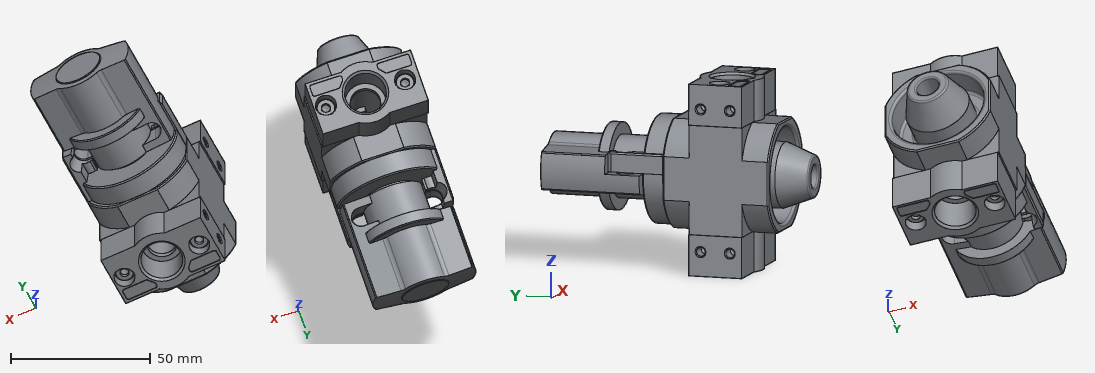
import cadquery as cq
import math


BODY_SIZE = 39.9
BLOCK_LENGTH = 20.0
ROUND_DIA = 43.0
END_CHAMFER = 0.5
HALF_BODY = BODY_SIZE / 2

CAVITY_DIA = 35.0
CAVITY_DEPTH = 10.0
HUB_DIA = 24.0
CAVITY_ROUND = 1.0
TIP_Y = -31.1
TIP_DIA = 15.3
CONE_ANGLE = 21.0
TIP_ROUND = 0.8
NOSE_HOLE_DIA = 8.6
NOSE_HOLE_DEPTH = 14.8
NOSE_HOLE_ROUND = 0.6

BORE_DIA = 11.0
TAB_WIDTH = 4.0
TAB_REACH = 3.6
TAB_HEIGHT = 2.0
TAB_ROOT = 2.0
TAB_SHIFT = 0.5

TOTAL_HEIGHT = 70.0
FLANGE_HEIGHT = TOTAL_HEIGHT / 2 - HALF_BODY
FLANGE_SHIFT = -0.5
BOSS_DIA = 23.2
PORT_DIA = 15.0
PORT_DEPTH = 12.8
PORT_CHAMFER = 0.9
SIDE_HOLE_DIA = 3.2
SIDE_HOLE_MOUTH_DIA = 4.0
SIDE_HOLE_DEPTH = 5.9
SIDE_HOLE_SPACING = 11.0
SIDE_HOLE_DROP = 9.0
LABEL_INNER_X = 6.7
LABEL_OUTER_X = 18.8
LABEL_CUT_X = 8.9
LABEL_CUT_Y = -7.1
LABEL_FRONT_Y = -9.0
LABEL_BACK_Y = -4.5
LABEL_DEPTH = 0.3
LABEL_ROUND = 0.8

SCREW_SPACING = 30.0
COUNTERBORE_DIA = 7.5
HEAD_DIA = 7.0
HEAD_HEIGHT = 4.0
HEAD_RECESS = 3.3
HEAD_CHAMFER = 0.34
SHANK_DIA = 4.0
SHANK_IN_HOUSING = 5.9
SOCKET_DIA = 3.2
SOCKET_DEPTH = 1.5
POINT_SLOPE = math.tan(math.radians(30))

CAP_DIA = 39.75
CAP_BACK_Y = 27.7
CAP_CHAMFER = 0.5
ARM_BACK_Y = 40.6
ARM_OUTER_X = 20.0
ARM_INNER_X = 11.9
ARM_BOTTOM_Z = 1.3
ARM_TOP_Z = 8.5
ARM_EDGE_CHAMFER = 0.6
ARM_TIP_LENGTH = 1.2
ARM_TIP_INSET = 0.5
RAIL_INNER_X = 16.2
BEAD_START_X = 15.6
BEAD_END_X = 12.8
BEAD_DROP = 5.4
BEAD_RISE = 0.3
SLOT_DIA = 7.0
SLOT_Y = 35.6
SLOT_END_X = 17.1
ARM_SLOT_LEAN = 1.6

NECK_DIA = 19.1
BARREL_DIA = 23.0
REAR_BARREL_DIA = 22.6
BARREL_Y = 29.0
BACK_Y = 67.3
WING_DIA = 39.2
WING_ROOT_Z = 8.9
WING_ANGLE = 6.0
WING_EDGE_X = 18.0
WING_BLEND = 3.2
COLLAR_DIA = 31.9
COLLAR_Y = 42.0
COLLAR_LENGTH = 4.1
COLLAR_CHAMFER = 0.4
POCKET_FLOOR_Z = 0.2
BACK_FLAT_DIA = 17.5
BACK_PAD_HEIGHT = 0.3
BACK_EDGE_DROP = 1.2


def y_cylinder(diameter, y_start, y_end):
    """Cylinder along the Y axis."""
    return cq.Workplane("XZ", origin=(0, y_start, 0)).circle(diameter / 2).extrude(y_start - y_end)


def blind_hole(diameter, depth):
    """Cutter along -Z from the origin, with a conical bottom."""
    radius = diameter / 2
    outline = [(0, 0), (radius, 0), (radius, -depth), (0, -depth - radius * POINT_SLOPE)]
    return cq.Workplane("XZ").polyline(outline).close().revolve(360, (0, 0, 0), (0, 1, 0))


def turned_about_y(body):
    """Copy turned half a turn about the valve axis."""
    return body.rotate((0, 0, 0), (0, 1, 0), 180)


def make_screw():
    """Screw standing with its head top at the origin."""
    shank_end = FLANGE_HEIGHT - HEAD_RECESS + SHANK_IN_HOUSING
    screw = cq.Workplane("XY").circle(HEAD_DIA / 2).extrude(-HEAD_HEIGHT)
    screw = screw.faces(">Z").edges().chamfer(HEAD_CHAMFER)
    screw = screw.union(cq.Workplane("XY").circle(SHANK_DIA / 2).extrude(-shank_end))
    return screw.cut(blind_hole(SOCKET_DIA, SOCKET_DEPTH))


HEAD_Z = TOTAL_HEIGHT / 2 - HEAD_RECESS
screws = []
for side in (-1, 1):
    top_screw = make_screw().translate((side * SCREW_SPACING / 2, 0, HEAD_Z))
    screws.append(top_screw)
    screws.append(turned_about_y(top_screw))


CONE_LENGTH = (HUB_DIA - TIP_DIA) / 2 / math.tan(math.radians(CONE_ANGLE))
CONE_BASE_Y = TIP_Y + CONE_LENGTH
CAVITY_FLOOR_Y = CAVITY_DEPTH - HALF_BODY


def make_housing_shell():
    """Square block with rounded, chamfered ends."""
    ends = cq.Workplane("XY").box(BODY_SIZE, BODY_SIZE, BODY_SIZE)
    ends = ends.intersect(y_cylinder(ROUND_DIA, -HALF_BODY, HALF_BODY))
    ends = ends.faces("<Y or >Y").chamfer(END_CHAMFER)
    return ends.union(cq.Workplane("XY").box(BODY_SIZE, BLOCK_LENGTH, BODY_SIZE))


def make_cavity():
    """Cutter for the ring-shaped cavity around the hub, with a rounded floor."""
    cavity = y_cylinder(CAVITY_DIA, -HALF_BODY, CAVITY_FLOOR_Y)
    cavity = cavity.cut(y_cylinder(HUB_DIA, CONE_BASE_Y, CAVITY_FLOOR_Y))
    return cavity.faces(">Y").edges().fillet(CAVITY_ROUND)


def make_nose():
    """Cone in front of the hub, with its blind hole."""
    nose = (
        cq.Workplane("XY")
        .polyline([
            (0, TIP_Y),
            (TIP_DIA / 2, TIP_Y),
            (HUB_DIA / 2, CONE_BASE_Y),
            (0, CONE_BASE_Y),
        ])
        .close()
        .revolve(360, (0, 0, 0), (0, 1, 0))
    )
    return nose.faces("<Y").edges().fillet(TIP_ROUND)


def make_tab():
    """Small tab that reaches into the port passage from its +Y side."""
    root = BORE_DIA / 2 + TAB_ROOT
    tab = cq.Workplane("XY").box(TAB_WIDTH, root - TAB_REACH, TAB_HEIGHT)
    return tab.translate((-TAB_SHIFT, (root + TAB_REACH) / 2, 0))


def make_housing():
    housing = make_housing_shell().cut(make_cavity())
    mouth = cq.selectors.RadiusNthSelector(0)
    housing = housing.faces("<Y").edges(mouth).fillet(CAVITY_ROUND)
    housing = housing.union(make_nose())

    nose_hole = y_cylinder(NOSE_HOLE_DIA, TIP_Y, TIP_Y + NOSE_HOLE_DEPTH)
    housing = housing.cut(nose_hole)
    housing = housing.faces("<Y").edges(mouth).fillet(NOSE_HOLE_ROUND)

    bore = cq.Workplane("XY").circle(BORE_DIA / 2).extrude(HALF_BODY, both=True)
    housing = housing.cut(bore)
    tab = make_tab()
    housing = housing.union(tab).union(tab.rotate((0, 0, 0), (0, 0, 1), 180))
    for screw in screws:
        housing = housing.cut(screw)
    return housing


housing = make_housing()


def make_label_recess():
    """Cutter for the shallow label field left of the port."""
    field = (
        cq.Workplane("XY")
        .polyline([
            (-LABEL_OUTER_X, LABEL_FRONT_Y),
            (-LABEL_INNER_X, LABEL_FRONT_Y),
            (-LABEL_INNER_X, LABEL_CUT_Y),
            (-LABEL_CUT_X, LABEL_BACK_Y),
            (-LABEL_OUTER_X, LABEL_BACK_Y),
        ])
        .close()
        .extrude(-LABEL_DEPTH)
    )
    return field.edges("|Z").fillet(LABEL_ROUND)


def make_side_hole():
    """Cutter along +X from the origin: blind hole with a chamfered mouth."""
    mouth_depth = (SIDE_HOLE_MOUTH_DIA - SIDE_HOLE_DIA) / 2
    mouth = cq.Workplane("XY").circle(SIDE_HOLE_MOUTH_DIA / 2)
    mouth = mouth.workplane(offset=-mouth_depth).circle(SIDE_HOLE_DIA / 2).loft()
    hole = blind_hole(SIDE_HOLE_DIA, SIDE_HOLE_DEPTH).union(mouth)
    return hole.rotate((0, 0, 0), (0, 1, 0), -90)


def make_top_flange():
    top_z = TOTAL_HEIGHT / 2
    flange = cq.Workplane("XY", origin=(FLANGE_SHIFT, 0, HALF_BODY))
    flange = flange.rect(BODY_SIZE, BLOCK_LENGTH).extrude(FLANGE_HEIGHT)
    boss = cq.Workplane("XY", origin=(0, 0, HALF_BODY)).circle(BOSS_DIA / 2).extrude(FLANGE_HEIGHT)
    flange = flange.union(boss)

    port = cq.Workplane("XY", origin=(0, 0, top_z)).circle(PORT_DIA / 2).extrude(-PORT_DEPTH)
    flange = flange.cut(port)
    port_mouth = cq.selectors.RadiusNthSelector(0)
    flange = flange.faces(">Z").edges(port_mouth).chamfer(PORT_CHAMFER)
    passage = cq.Workplane("XY", origin=(0, 0, HALF_BODY)).circle(BORE_DIA / 2).extrude(FLANGE_HEIGHT)
    flange = flange.cut(passage)

    label = make_label_recess()
    for field in (label, label.mirror("YZ")):
        flange = flange.cut(field.translate((FLANGE_SHIFT, 0, top_z)))

    face_x = FLANGE_SHIFT - HALF_BODY
    for side in (-1, 1):
        hole = make_side_hole()
        hole_y = side * SIDE_HOLE_SPACING / 2
        flange = flange.cut(hole.translate((face_x, hole_y, top_z - SIDE_HOLE_DROP)))
        seat_x = side * SCREW_SPACING / 2
        seat = cq.Workplane("XY", origin=(seat_x, 0, top_z))
        flange = flange.cut(seat.circle(COUNTERBORE_DIA / 2).extrude(-HEAD_RECESS - HEAD_HEIGHT))
        flange = flange.cut(seat.circle(SHANK_DIA / 2).extrude(-FLANGE_HEIGHT))
    return flange


top_flange = make_top_flange()
bottom_flange = top_flange.mirror("XY")


def make_wing_slot():
    """Vertical slot on the -X side, from the axis to a round outer end."""
    end_x = SLOT_END_X - SLOT_DIA / 2
    half_depth = WING_DIA / 2
    slot = cq.Workplane("XY", origin=(-end_x / 2, SLOT_Y, 0))
    slot = slot.rect(end_x, SLOT_DIA).extrude(half_depth, both=True)
    outer_end = cq.Workplane("XY", origin=(-end_x, SLOT_Y, 0)).circle(SLOT_DIA / 2)
    return slot.union(outer_end.extrude(half_depth, both=True))


def make_arm_slot():
    """The same slot, leaning outwards through the -X arm."""
    lean_angle = math.degrees(math.atan(ARM_SLOT_LEAN / (ARM_TOP_Z - ARM_BOTTOM_Z)))
    pivot = (-SLOT_END_X, 0, ARM_BOTTOM_Z)
    pivot_along_y = (-SLOT_END_X, 1, ARM_BOTTOM_Z)
    return make_wing_slot().rotate(pivot, pivot_along_y, -lean_angle)


def make_arm():
    """Arm on the -X side that reaches from the cap along the connector."""
    bead_z = ARM_TOP_Z - BEAD_DROP
    bead_middle_x = (BEAD_START_X + BEAD_END_X) / 2
    arm = (
        cq.Workplane("XZ", origin=(0, HALF_BODY, 0))
        .moveTo(-ARM_INNER_X, ARM_BOTTOM_Z)
        .lineTo(-ARM_OUTER_X, ARM_BOTTOM_Z)
        .lineTo(-ARM_OUTER_X, ARM_TOP_Z - ARM_EDGE_CHAMFER)
        .lineTo(-ARM_OUTER_X + ARM_EDGE_CHAMFER, ARM_TOP_Z)
        .lineTo(-RAIL_INNER_X, ARM_TOP_Z)
        .lineTo(-BEAD_START_X, bead_z)
        .threePointArc((-bead_middle_x, bead_z + BEAD_RISE), (-BEAD_END_X, bead_z))
        .lineTo(-ARM_INNER_X, bead_z)
        .close()
        .extrude(HALF_BODY - ARM_BACK_Y)
    )
    tip = cq.Workplane("XY", origin=(0, 0, ARM_BOTTOM_Z)).polyline([
        (-ARM_OUTER_X, ARM_BACK_Y - ARM_TIP_LENGTH),
        (-ARM_OUTER_X, ARM_BACK_Y),
        (-ARM_OUTER_X + ARM_TIP_INSET, ARM_BACK_Y),
    ]).close().extrude(ARM_TOP_Z)
    return arm.cut(tip).cut(make_arm_slot())


def make_cap():
    cap = y_cylinder(CAP_DIA, HALF_BODY, CAP_BACK_Y).faces(">Y").edges().chamfer(CAP_CHAMFER)
    arm = make_arm()
    return cap.union(arm).union(turned_about_y(arm))


cap = make_cap()


def make_wings(y_start, y_end):
    """Flat wings whose faces taper towards rounded tips."""
    edge_z = WING_ROOT_Z - WING_EDGE_X * math.tan(math.radians(WING_ANGLE))
    tip_x = WING_DIA / 2
    low_z = edge_z - (tip_x - WING_EDGE_X)
    outline = [
        (0, WING_ROOT_Z),
        (WING_EDGE_X, edge_z),
        (tip_x, low_z),
        (tip_x, -low_z),
        (WING_EDGE_X, -edge_z),
        (0, -WING_ROOT_Z),
        (-WING_EDGE_X, -edge_z),
        (-tip_x, -low_z),
        (-tip_x, low_z),
        (-WING_EDGE_X, edge_z),
    ]
    wings = cq.Workplane("XZ", origin=(0, y_start, 0)).polyline(outline).close()
    wings = wings.extrude(y_start - y_end)
    return wings.intersect(y_cylinder(WING_DIA, y_start, y_end))


def make_back_limit():
    """Turned solid that gives the back a flat middle and a shallow cone."""
    flat_radius = BACK_FLAT_DIA / 2
    tip_radius = WING_DIA / 2
    outline = [
        (0, CAP_BACK_Y),
        (tip_radius, CAP_BACK_Y),
        (tip_radius, BACK_Y - BACK_EDGE_DROP),
        (flat_radius + BACK_PAD_HEIGHT, BACK_Y - BACK_PAD_HEIGHT),
        (flat_radius, BACK_Y),
        (0, BACK_Y),
    ]
    return cq.Workplane("XY").polyline(outline).close().revolve(360, (0, 0, 0), (0, 1, 0))


def make_arm_pocket():
    """Cutter for the quarter of the wings that clears the -X arm."""
    reach = WING_DIA / 2
    pocket = cq.Workplane("XY", origin=(-reach / 2, (BARREL_Y + COLLAR_Y) / 2, POCKET_FLOOR_Z))
    return pocket.rect(reach, COLLAR_Y - BARREL_Y).extrude(reach)


def make_rear_section():
    """Wings and barrel behind the collar face, blended into each other."""
    rear = make_wings(COLLAR_Y, BACK_Y).union(y_cylinder(REAR_BARREL_DIA, COLLAR_Y, BACK_Y))
    reach = REAR_BARREL_DIA / 2
    seams = cq.selectors.BoxSelector((-reach, COLLAR_Y, -reach), (reach, BACK_Y, reach))
    rear = rear.edges("|Y").edges(seams).fillet(WING_BLEND)
    return rear.intersect(make_back_limit())


def make_front_section():
    """Wings with arm pockets and slots, and the barrel between them."""
    front = make_wings(BARREL_Y, COLLAR_Y)
    pocket = make_arm_pocket()
    slot = make_wing_slot()
    front = front.cut(pocket).cut(turned_about_y(pocket))
    front = front.cut(slot).cut(turned_about_y(slot))
    return front.union(y_cylinder(BARREL_DIA, BARREL_Y, COLLAR_Y))


def make_connector():
    collar = y_cylinder(COLLAR_DIA, COLLAR_Y, COLLAR_Y + COLLAR_LENGTH)
    collar = collar.faces(">Y").edges().chamfer(COLLAR_CHAMFER)
    connector = make_rear_section().union(make_front_section()).union(collar)
    return connector.union(y_cylinder(NECK_DIA, CAP_BACK_Y, BARREL_Y))


connector = make_connector()

result = cq.Compound.makeCompound([
    housing.val(),
    top_flange.val(),
    bottom_flange.val(),
    cap.val(),
    connector.val(),
    *[screw.val() for screw in screws],
])